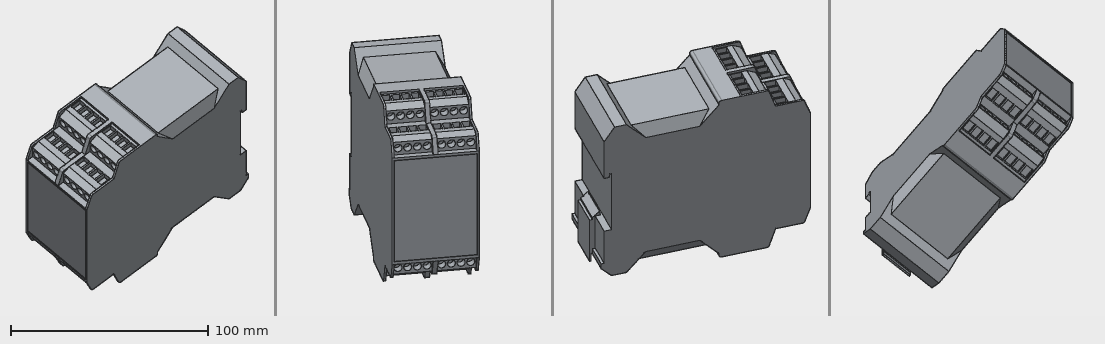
import cadquery as cq

length = 114.0
width = 45.2
height = 99.0
half_width = width / 2
half_height = height / 2

front_half = 29.8
lower_tier_half = 38.8
lower_tier_front = 3.4
tier_step = 18.8
upper_tier_front = 22.6
shoulder_back = 49.3
shoulder_low = 47.0
corner_radius = 1.5

waist_half = 36.0
waist_front = 59.6
waist_back = 88.6
heel_half = 46.8
heel_front = 99.0
insert_half = 42.8
insert_half_width = 18.6

back = 111.0
rail_floor = 107.0
rail_half = 17.7
lip_low = 15.6
lip_front = 107.9
lip_back = 108.2
heel_top_back = 105.4
heel_bottom_back = 107.0
bump_back = 112.6
bump_top = -38.0
bump_low = -41.1

foot_half_width = 8.9
foot_top = -19.5
foot_bottom = -45.6
foot_arm_front = 113.1
foot_front = 108.2
hook_base = -18.4
hook_tip = (108.7, -15.2)
hook_nose = -17.1

wall = 1.1
panel_half_height = 28.2
panel_depth = 0.5

pocket_outer = half_width - wall
rib_half = 1.3
pocket_back = 37.5
tier_bevel_depths = (4.7, 4.0)
tier_bevel_drops = (2.3, 1.8)
tier_faces = (22.1, 3.6)
tier_tops = (48.2, 38.7)

pole_count = 4
first_pole = 3.8
pole_pitch = 5.0
opening_size = 4.1
opening_length = 6.0
top_opening_depth = 3.0
round_hole_depth = 5.0
top_opening_fronts = (30.0, 11.5)
round_heights = (42.8, 33.4)


def side_prism(points, x_start, x_end):
    """Extrude a (y, z) outline along X."""
    return cq.Workplane("YZ", origin=(x_start, 0, 0)).polyline(points).close().extrude(x_end - x_start)


def mirrored_z(shape):
    return shape.union(shape.mirror("XY"))


def housing():
    upper_half = [
        (0, front_half),
        (lower_tier_front, lower_tier_half),
        (tier_step, lower_tier_half),
        (upper_tier_front, half_height),
        (shoulder_back, half_height),
        (shoulder_back, shoulder_low),
        (waist_front, waist_half),
        (waist_back, waist_half),
        (heel_front, heel_half),
    ]
    lower_half = [(y, -z) for y, z in reversed(upper_half)]
    back_edge = [
        (heel_top_back, heel_half),
        (back, lower_tier_half),
        (back, lip_low),
        (lip_back, lip_low),
        (lip_front, rail_half),
        (rail_floor, rail_half),
        (rail_floor, -rail_half),
        (back, -rail_half),
        (back, bump_top),
        (bump_back, bump_top),
        (bump_back, bump_low),
        (heel_bottom_back, -heel_half),
    ]
    body = side_prism(upper_half + back_edge + lower_half, -half_width, half_width)

    rounded_corners = [
        (lower_tier_front, lower_tier_half),
        (upper_tier_front, half_height),
        (shoulder_back, half_height),
    ]
    for y, z in rounded_corners:
        for side in (1, -1):
            corner = cq.selectors.NearestToPointSelector((0, y, side * z))
            body = body.edges("|X").edges(corner).fillet(corner_radius)
    return body


def waist_insert():
    """Block that fills the waist and narrows away from the housing."""
    front_run = (waist_front - shoulder_back) / (shoulder_low - waist_half)
    back_run = (heel_front - waist_back) / (heel_half - waist_half)
    rise = insert_half - waist_half
    filler = side_prism(
        [
            (waist_front, waist_half),
            (waist_back, waist_half),
            (waist_back + back_run * rise, insert_half),
            (waist_front - front_run * rise, insert_half),
        ],
        -half_width,
        half_width,
    )
    taper = (
        cq.Workplane("XZ")
        .polyline(
            [
                (-half_width, waist_half),
                (half_width, waist_half),
                (insert_half_width, insert_half),
                (-insert_half_width, insert_half),
            ]
        )
        .close()
        .extrude(-length)
    )
    return mirrored_z(filler.intersect(taper))


def rail_foot():
    outline = [
        (length, foot_top),
        (bump_back, foot_top),
        (bump_back, hook_base),
        hook_tip,
        (foot_front, hook_nose),
        (foot_front, bump_low),
        (foot_arm_front, bump_low),
        (foot_arm_front, foot_bottom),
        (length, foot_bottom),
    ]
    return side_prism(outline, -foot_half_width, foot_half_width)


def front_panel_recess():
    return cq.Workplane("XY").box(2 * pocket_outer, 2 * panel_depth, 2 * panel_half_height)


def terminal_pockets():
    """Space above the stepped, bevelled terminal blocks, on both sides of the rib."""
    outline = [(pocket_back, height), (pocket_back, tier_tops[0])]
    ledges = (tier_tops[1], front_half)
    for face, top, ledge, run, drop in zip(
        tier_faces, tier_tops, ledges, tier_bevel_depths, tier_bevel_drops
    ):
        outline.append((face + run, top))
        outline.append((face, top - drop))
        outline.append((face, ledge))
    beyond_front = -wall
    outline += [(beyond_front, front_half), (beyond_front, height)]
    pocket = side_prism(outline, rib_half, pocket_outer)
    return mirrored_z(pocket.union(pocket.mirror("YZ")))


def terminal_openings():
    """Rectangular openings in the block tops and round holes in their faces."""
    poles = [first_pole + i * pole_pitch for i in range(pole_count)]
    columns = [-x for x in poles] + poles
    openings = cq.Workplane("XY")
    for face, top, opening_front, round_height in zip(
        tier_faces, tier_tops, top_opening_fronts, round_heights
    ):
        rectangles = (
            cq.Workplane("XY", origin=(0, opening_front + opening_length / 2, top))
            .pushPoints([(x, 0) for x in columns])
            .rect(opening_size, opening_length)
            .extrude(-top_opening_depth)
        )
        rounds = (
            cq.Workplane("XZ", origin=(0, face, round_height))
            .pushPoints([(x, 0) for x in columns])
            .circle(opening_size / 2)
            .extrude(-round_hole_depth)
        )
        openings = openings.add(rectangles).add(rounds)
    openings = openings.combine()
    return mirrored_z(openings)


result = (
    housing()
    .union(waist_insert())
    .union(rail_foot())
    .cut(front_panel_recess())
    .cut(terminal_pockets())
    .cut(terminal_openings())
)